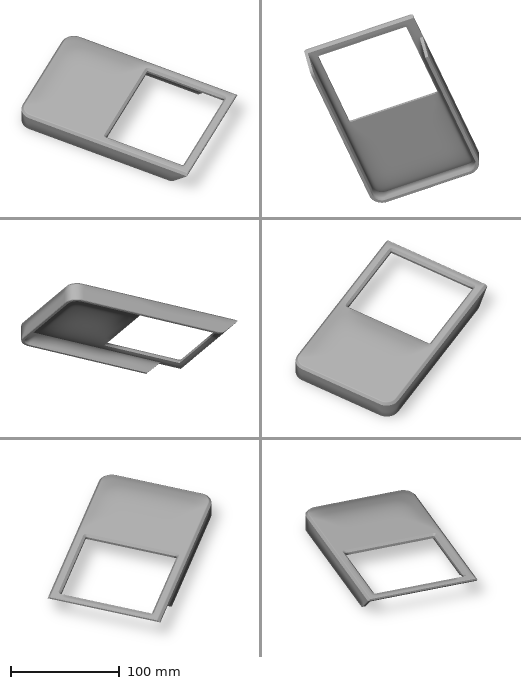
import cadquery as cq

length = 173.6
width = 108.0
height = 18.45

wall = 3.0
plate_thickness = 4.6
corner_radius = 12.5

rim_chamfer = 2.4
rim_blend_radius = 1.5
bottom_chamfer = 0.5
end_edge_chamfer = 0.7

slope_run = height - rim_chamfer
slope_blend_radius = 10.0

far_wall_foot_x = 135.0

window_length = 78.6
window_width = 87.9
window_end_margin = 8.7
window_corner_radius = 0.8
window_chamfer = 2.1
selection_margin = 0.1
window_center_x = length - window_end_margin - window_length / 2


def rounded_end_block(block_length, block_width, block_height, radius):
    """Block from x = 0, centred on Y, with its two vertical edges at x = 0 rounded."""
    block = cq.Workplane("XY").box(block_length, block_width, block_height, centered=(False, True, False))
    return block.edges("|Z and <X").fillet(radius)


def outer_body():
    """Outside of the cover, with its rim and bottom edges broken."""
    body = rounded_end_block(length, width, height, corner_radius)
    body = body.edges(">X and >Z").chamfer(end_edge_chamfer)
    body = body.faces(">Z").edges("not >X").chamfer(rim_chamfer)
    body = body.faces(">Z").edges("not >X").fillet(rim_blend_radius)
    return body.faces("<Z").edges("not >X").chamfer(bottom_chamfer)


def inner_cavity():
    """Space under the plate, open at the bottom and at the sloped end."""
    cavity = rounded_end_block(
        length - wall, width - 2 * wall, height - plate_thickness, corner_radius - wall
    )
    return cavity.translate((wall, 0, 0))


def side_envelope():
    """Side outline of the cover across its width: 45 degree end, blended into the bottom."""
    slope_foot_x = length - slope_run
    envelope = (
        cq.Workplane("XZ")
        .polyline([(0, 0), (slope_foot_x, 0), (length, slope_run), (length, height), (0, height)])
        .close()
        .extrude(width / 2, both=True)
    )
    slope_foot = cq.selectors.NearestToPointSelector((slope_foot_x, 0, 0))
    return envelope.edges(slope_foot).fillet(slope_blend_radius)


def far_wall_setback():
    """Block that ends the +Y wall early, with a 45 degree end face under the plate."""
    underside = height - plate_thickness
    return (
        cq.Workplane("XZ", origin=(0, width / 2, 0))
        .polyline(
            [
                (far_wall_foot_x, 0),
                (length, 0),
                (length, underside),
                (far_wall_foot_x + underside, underside),
            ]
        )
        .close()
        .extrude(wall)
    )


def cut_window(cover):
    """Cut the rectangular opening and chamfer its upper rim."""
    opening = (
        cq.Workplane("XY")
        .box(window_length, window_width, height, centered=(True, True, False))
        .edges("|Z")
        .fillet(window_corner_radius)
        .translate((window_center_x, 0, 0))
    )
    half_length = window_length / 2 + selection_margin
    half_width = window_width / 2 + selection_margin
    window_rim = cq.selectors.BoxSelector(
        (window_center_x - half_length, -half_width, height - selection_margin),
        (window_center_x + half_length, half_width, height + selection_margin),
    )
    return cover.cut(opening).edges(window_rim).chamfer(window_chamfer)


cover = outer_body().cut(inner_cavity()).intersect(side_envelope()).cut(far_wall_setback())
result = cut_window(cover)